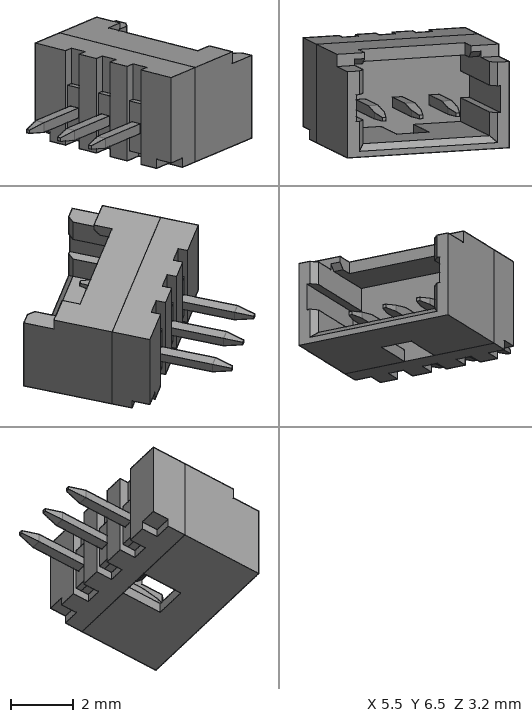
import cadquery as cq
import math


WIDTH = 5.5
HEIGHT = 3.2
TOTAL_LENGTH = 6.5
HOUSING_DEPTH = 4.2
BASE_DEPTH = 1.255

PIN_COUNT = 3
PITCH = 1.25
PIN_Z = 1.16
PIN_SIZE = 0.33
TIP_SIZE = 0.12
TAIL_LENGTH = TOTAL_LENGTH - HOUSING_DEPTH
TAIL_TAPER = 0.605
CONTACT_SETBACK = 0.7
CONTACT_TAPER = 0.455
CONTACT_BEVEL_ANGLE = 11.5

SIDE_WALL = 0.605
TOP_WALL = 0.395
MOUTH_CHAMFER = 0.2
STEP_DEPTH = 1.0
NOTCH_WIDTH = 3.615
NOTCH_DEPTH = 1.6
WINDOW_WIDTH = 1.1
WINDOW_SETBACK = 1.47
GROOVE_DEPTH = 0.3
GROOVE_HEIGHT = 0.87

SLOT_WIDTH = 0.55
SLOT_DEPTH = 0.31
RECESS_SIZE = 0.59
RECESS_HEIGHT = 0.31
BLOCK_SETBACK = 0.11
BLOCK_TOP = 2.0

CAVITY_WIDTH = WIDTH - 2 * SIDE_WALL
CAVITY_HEIGHT = HEIGHT - 2 * TOP_WALL
CAVITY_TOP = HEIGHT - TOP_WALL
STEP_Y = HOUSING_DEPTH - STEP_DEPTH
PIN_X = [(i - (PIN_COUNT - 1) / 2) * PITCH for i in range(PIN_COUNT)]


def box(x_mid, width, y_min, y_max, z_min, z_max):
    """Box centred on x_mid in X and spanning the given Y and Z limits."""
    plain_box = cq.Workplane("XY").box(
        width, y_max - y_min, z_max - z_min, centered=(True, False, False)
    )
    return plain_box.translate((x_mid, y_min, z_min))


def mouth_flare():
    """Tapered cutter that chamfers the cavity edges where it opens at the mouth."""
    return (
        cq.Workplane("XZ", origin=(0, HOUSING_DEPTH, HEIGHT / 2))
        .rect(CAVITY_WIDTH + 2 * MOUTH_CHAMFER, CAVITY_HEIGHT + 2 * MOUTH_CHAMFER)
        .workplane(offset=MOUTH_CHAMFER)
        .rect(CAVITY_WIDTH, CAVITY_HEIGHT)
        .loft(ruled=True)
    )


def top_wall_bevel():
    """Wedge that chamfers the inner edge of the top wall at the step."""
    return (
        cq.Workplane("YZ")
        .polyline([
            (STEP_Y, CAVITY_TOP),
            (STEP_Y, CAVITY_TOP + MOUTH_CHAMFER),
            (STEP_Y - MOUTH_CHAMFER, CAVITY_TOP),
        ])
        .close()
        .extrude(CAVITY_WIDTH / 2, both=True)
    )


def make_shell():
    """Rectangular tube with a lowered mouth, a notched top wall and a floor window."""
    shell = box(0, WIDTH, BASE_DEPTH, HOUSING_DEPTH, 0, HEIGHT)
    cavity = box(0, CAVITY_WIDTH, BASE_DEPTH, HOUSING_DEPTH, TOP_WALL, CAVITY_TOP)
    step = box(0, WIDTH, STEP_Y, HOUSING_DEPTH, CAVITY_TOP, HEIGHT)
    notch = box(0, NOTCH_WIDTH, HOUSING_DEPTH - NOTCH_DEPTH, HOUSING_DEPTH, CAVITY_TOP, HEIGHT)
    window = box(0, WINDOW_WIDTH, BASE_DEPTH, HOUSING_DEPTH - WINDOW_SETBACK, 0, TOP_WALL)
    grooves = box(
        0, CAVITY_WIDTH + 2 * GROOVE_DEPTH, BASE_DEPTH, HOUSING_DEPTH,
        (HEIGHT - GROOVE_HEIGHT) / 2, (HEIGHT + GROOVE_HEIGHT) / 2,
    )
    for cutter in (cavity, step, notch, window, grooves, mouth_flare(), top_wall_bevel()):
        shell = shell.cut(cutter)
    return shell


def pin_passage(x):
    """Square passage for one pin through the base and its block."""
    half = PIN_SIZE / 2
    return box(x, PIN_SIZE, 0, BASE_DEPTH, PIN_Z - half, PIN_Z + half)


def make_base():
    """Solid end of the housing with pin slots and recesses along its lower edge."""
    base = box(0, WIDTH, 0, BASE_DEPTH, 0, HEIGHT)
    for x in PIN_X:
        base = base.cut(box(x, SLOT_WIDTH, 0, SLOT_DEPTH, 0, HEIGHT))
        base = base.cut(box(x, SLOT_WIDTH, 0, RECESS_SIZE, 0, RECESS_HEIGHT))
        base = base.cut(pin_passage(x))
    corner_x = (WIDTH - RECESS_SIZE) / 2
    for x in (-corner_x, corner_x):
        base = base.cut(box(x, RECESS_SIZE, 0, RECESS_SIZE, 0, RECESS_HEIGHT))
    return base


def make_block(x):
    """Block that fills the lower part of a slot around its pin."""
    block = box(x, SLOT_WIDTH, BLOCK_SETBACK, SLOT_DEPTH, RECESS_HEIGHT, BLOCK_TOP)
    return block.cut(pin_passage(x))


def make_pin(x):
    """Square pin with a pyramidal tail tip and a contact bevelled on its top side."""
    half = PIN_SIZE / 2
    half_tip = TIP_SIZE / 2
    taper_y = TAIL_TAPER - TAIL_LENGTH
    contact_y = HOUSING_DEPTH - CONTACT_SETBACK
    bevel_length = (PIN_SIZE - TIP_SIZE) / math.tan(math.radians(CONTACT_BEVEL_ANGLE))

    side_profile = (
        cq.Workplane("YZ", origin=(x, 0, PIN_Z))
        .polyline([
            (-TAIL_LENGTH, -half_tip),
            (taper_y, -half),
            (contact_y, -half),
            (contact_y, TIP_SIZE - half),
            (contact_y - bevel_length, half),
            (taper_y, half),
            (-TAIL_LENGTH, half_tip),
        ])
        .close()
        .extrude(half, both=True)
    )
    plan_profile = (
        cq.Workplane("XY", origin=(x, 0, PIN_Z))
        .polyline([
            (-half_tip, -TAIL_LENGTH),
            (half_tip, -TAIL_LENGTH),
            (half, taper_y),
            (half, contact_y - CONTACT_TAPER),
            (half_tip, contact_y),
            (-half_tip, contact_y),
            (-half, contact_y - CONTACT_TAPER),
            (-half, taper_y),
        ])
        .close()
        .extrude(half, both=True)
    )
    return side_profile.intersect(plan_profile)


shell = make_shell()
base = make_base()
blocks = [make_block(x) for x in PIN_X]
pins = [make_pin(x) for x in PIN_X]

result = cq.Compound.makeCompound([
    shell.val(),
    base.val(),
    *[block.val() for block in blocks],
    *[pin.val() for pin in pins],
])